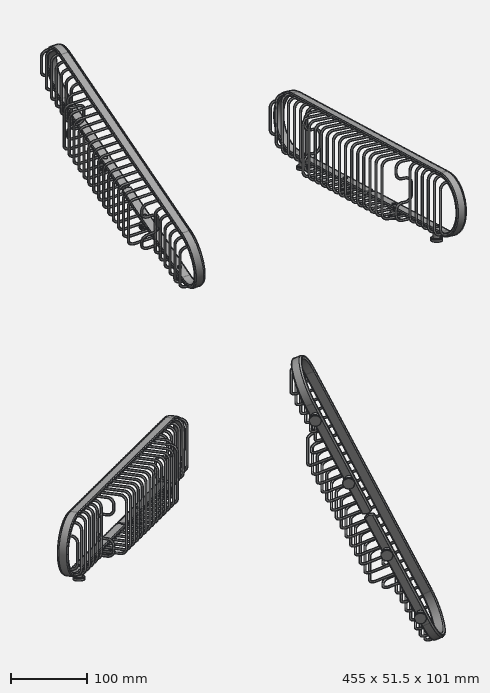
import cadquery as cq
import math

frame_length = 455.0
frame_height = 88.0
frame_depth = 14.5
frame_thickness = 5.5
back_chamfer_depth = 2.7
back_chamfer_drop = 1.5
front_chamfer = 1.5
outer_radius = frame_height / 2
mid_radius = outer_radius - frame_thickness / 2
arc_center_x = frame_length / 2 - outer_radius

joint_mouth_width = 8.0
joint_waist_width = 2.7
joint_pin_diameter = 1.0

wire_diameter = 3.0
first_wire_position = -14.5
first_wire_x = -217.5
wire_pitch = first_wire_x / first_wire_position
wire_count = 29
wire_root_y = -frame_depth / 2
long_wire_reach = 51.5
short_wire_reach = 27.0
hook_reach = 39.0
bend_radius = 9.0
hook_neck_y = -14.0
hook_throat_z = 17.0
hook_position = 7.5

foot_xs = (-165.0, -60.0, 60.0, 165.0)
foot_height = 13.0
foot_diameter = 16.0
foot_rim_height = 4.0
foot_rim_chamfer = 1.0
foot_neck_diameter = 10.0
screw_head_diameter = 5.5
screw_head_height = 1.0


def racetrack(inset):
    """Solid racetrack shrunk inwards by inset, as deep as the frame."""
    return (
        cq.Workplane("XZ")
        .slot2D(frame_length - 2 * inset, frame_height - 2 * inset)
        .extrude(frame_depth)
    )


def frame():
    """Racetrack band chamfered front and back and parted at the bottom."""
    band = racetrack(0).cut(racetrack(frame_thickness))
    band = band.faces(">Y").chamfer(back_chamfer_depth, back_chamfer_drop)
    band = band.faces("<Y").chamfer(front_chamfer)
    return band.cut(joint_gap()).union(joint_pin())


def joint_gap():
    """Hourglass gap, narrowest halfway through the depth of the frame."""
    mouth = joint_mouth_width / 2
    waist = joint_waist_width / 2
    middle_y = -frame_depth / 2
    return (
        cq.Workplane("XY", origin=(0, 0, -outer_radius))
        .polyline(
            [
                (-mouth, 0),
                (mouth, 0),
                (waist, middle_y),
                (mouth, -frame_depth),
                (-mouth, -frame_depth),
                (-waist, middle_y),
            ]
        )
        .close()
        .extrude(frame_thickness)
    )


def joint_pin():
    """Thin pin bridging the gap."""
    return (
        cq.Workplane("YZ", origin=(-joint_mouth_width / 2, -frame_depth / 2, -mid_radius))
        .circle(joint_pin_diameter / 2)
        .extrude(joint_mouth_width)
    )


def frame_half_height(x):
    """Height of the middle of the frame band above its axis at x."""
    overhang = max(abs(x) - arc_center_x, 0)
    return math.sqrt(mid_radius**2 - overhang**2)


def bent_wire(x, corners):
    """Round wire in the plane at x along (y, z) corners, with rounded bends."""
    points = [cq.Vector(x, y, z) for y, z in corners]
    edges = []
    start = points[0]
    for before, corner, after in zip(points, points[1:], points[2:]):
        way_in = (corner - before).normalized()
        way_out = (after - corner).normalized()
        bend_start = corner - way_in * bend_radius
        bend_end = corner + way_out * bend_radius
        edges.append(cq.Edge.makeLine(start, bend_start))
        edges.append(cq.Edge.makeTangentArc(bend_start, way_in, bend_end))
        start = bend_end
    edges.append(cq.Edge.makeLine(start, points[-1]))
    path = cq.Workplane(obj=cq.Wire.assembleEdges(edges))
    section = cq.Workplane("XZ", origin=points[0].toTuple()).circle(wire_diameter / 2)
    return section.sweep(path)


def hoop(x, reach):
    """Wire running forward from the frame, down, and back to the frame."""
    z = frame_half_height(x)
    front_y = wire_diameter / 2 - reach
    return bent_wire(x, [(wire_root_y, z), (front_y, z), (front_y, -z), (wire_root_y, -z)])


def double_hook(x):
    """Wire with a forward loop at the top and bottom and a recessed middle."""
    z = frame_half_height(x)
    front_y = wire_diameter / 2 - hook_reach
    upper = [(wire_root_y, z), (front_y, z), (front_y, hook_throat_z), (hook_neck_y, hook_throat_z)]
    lower = [(y, -height) for y, height in reversed(upper)]
    return bent_wire(x, upper + lower)


def wire(position):
    """Wire at a position counted in pitches from the middle of the rack."""
    x = position * wire_pitch
    if abs(position) < hook_position:
        return hoop(x, long_wire_reach)
    if abs(position) == hook_position:
        return double_hook(x)
    return hoop(x, short_wire_reach)


def foot(x):
    """Knob with a round base, and the screw head inside the frame."""
    bottom = -outer_radius - foot_height
    rim_top = bottom + foot_rim_height
    head_top = -outer_radius + frame_thickness + screw_head_height
    foot_radius = foot_diameter / 2
    neck_radius = foot_neck_diameter / 2
    head_radius = screw_head_diameter / 2
    shoulder = -mid_radius
    return (
        cq.Workplane("XZ")
        .moveTo(0, bottom)
        .lineTo(foot_radius, bottom)
        .lineTo(foot_radius, rim_top - foot_rim_chamfer)
        .lineTo(foot_radius - foot_rim_chamfer, rim_top)
        .lineTo(neck_radius, rim_top)
        .lineTo(neck_radius, shoulder)
        .lineTo(head_radius, shoulder)
        .lineTo(head_radius, head_top)
        .lineTo(0, head_top)
        .close()
        .revolve(360, (0, 0), (0, 1))
        .translate((x, -foot_radius, 0))
    )


result = frame()
for index in range(wire_count):
    result = result.union(wire(first_wire_position + index))
for foot_x in foot_xs:
    result = result.union(foot(foot_x))